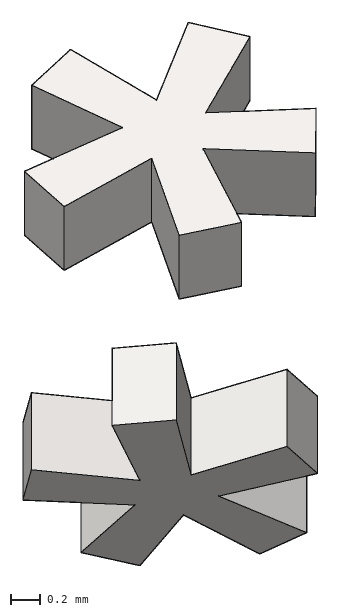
import cadquery as cq
import math

thickness = 0.6
tip_width = 0.448

arms = [
    {"facing": 90.0, "tip": (0.010, 1.024), "notch": (0.189, 0.201)},
    {"facing": 17.8, "tip": (0.962, 0.273), "notch": (0.287, -0.146)},
    {"facing": -54.5, "tip": (0.592, -0.893), "notch": (-0.016, -0.350)},
    {"facing": -123.7, "tip": (-0.616, -0.877), "notch": (-0.303, -0.121)},
    {"facing": 162.1, "tip": (-0.961, 0.296), "notch": (-0.172, 0.217)},
]


def arm_corners(arm):
    """Two corners of the flat end, in clockwise order, then the following notch."""
    facing = math.radians(arm["facing"])
    x, y = arm["tip"]
    half_x = tip_width / 2 * math.sin(facing)
    half_y = -tip_width / 2 * math.cos(facing)
    return [(x - half_x, y - half_y), (x + half_x, y + half_y), arm["notch"]]


outline = []
for arm in arms:
    outline.extend(arm_corners(arm))

result = cq.Workplane("XY").polyline(outline).close().extrude(thickness)